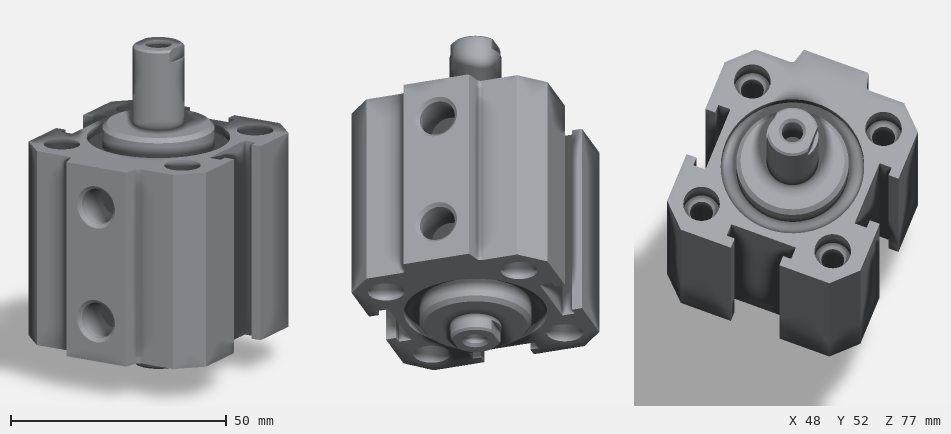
import cadquery as cq
import math


block_width = 48.0
block_height = 47.0
half_width = block_width / 2
corner_chamfer = 5.55

slot_mouth = 12.0
slot_width = 16.0
slot_lip = 2.5
slot_depth = 5.5

boss_width = 16.0
boss_projection = 4.0
boss_flank_angle = 15.0
boss_root_radius = 1.0

port_diameter = 8.55
port_mouth_diameter = 10.2
port_depth = 9.25
port_end_distance = 9.7

mount_spacing = 32.6
mount_diameter = 5.3
mount_counterbore = 8.5
mount_counterbore_depth = 5.55

collar_diameter = 26.0
collar_projection = 3.5
collar_chamfer = 1.0
recess_diameter = 33.3
recess_depth = 2.0

rod_diameter = 12.0
rod_length = 77.0
rod_bottom = -7.5
rod_chamfer = 0.5
flat_width = 10.0
flat_length = 3.0
thread_diameter = 4.9
thread_mouth_diameter = 6.3
thread_depth = 10.0


def tapered_hole(diameter, mouth_diameter, depth):
    """Cutter along +Z from the origin, with a 45 degree countersink at its mouth."""
    radius = diameter / 2
    mouth_radius = mouth_diameter / 2
    countersink_depth = mouth_radius - radius
    return (
        cq.Workplane("XZ")
        .moveTo(0, 0)
        .lineTo(mouth_radius, 0)
        .lineTo(radius, countersink_depth)
        .lineTo(radius, depth)
        .lineTo(0, depth)
        .close()
        .revolve(360, (0, 0, 0), (0, 1, 0))
    )


def make_block():
    return (
        cq.Workplane("XY")
        .rect(block_width, block_width)
        .extrude(block_height)
        .edges("|Z")
        .chamfer(corner_chamfer)
    )


def add_boss(body):
    """Adds the boss with sloping flanks and rounded roots."""
    face_y = -half_width
    tip_y = face_y - boss_projection
    tip_x = boss_width / 2
    slope = math.radians(boss_flank_angle)
    root_x = tip_x + boss_projection * math.tan(slope)
    boss = (
        cq.Workplane("XY")
        .moveTo(-root_x, face_y)
        .lineTo(-tip_x, tip_y)
        .lineTo(tip_x, tip_y)
        .lineTo(root_x, face_y)
        .lineTo(root_x, 0)
        .lineTo(-root_x, 0)
        .close()
        .extrude(block_height)
    )
    body = body.union(boss)
    for x in (-root_x, root_x):
        root_middle = (x, face_y, block_height / 2)
        root_edge = cq.selectors.NearestToPointSelector(root_middle)
        body = body.edges(root_edge).fillet(boss_root_radius)
    return body


def cut_slots(body):
    """Cuts a T-slot over the full height of the right, back and left sides."""
    neck_center = half_width - slot_lip / 2
    pocket_center = half_width - (slot_lip + slot_depth) / 2
    neck = cq.Workplane("XY").center(neck_center, 0).rect(slot_lip, slot_mouth).extrude(block_height)
    pocket = (
        cq.Workplane("XY")
        .center(pocket_center, 0)
        .rect(slot_depth - slot_lip, slot_width)
        .extrude(block_height)
    )
    slot = neck.union(pocket)
    for angle in (0, 90, 180):
        body = body.cut(slot.rotate((0, 0, 0), (0, 0, 1), angle))
    return body


def cut_mounting_holes(body):
    """Cuts the four corner holes, counterbored from both ends."""
    hole = cq.Workplane("XY").circle(mount_diameter / 2).extrude(block_height)
    for bottom in (0, block_height - mount_counterbore_depth):
        counterbore = (
            cq.Workplane("XY", origin=(0, 0, bottom))
            .circle(mount_counterbore / 2)
            .extrude(mount_counterbore_depth)
        )
        hole = hole.union(counterbore)
    offset = mount_spacing / 2
    for x in (-offset, offset):
        for y in (-offset, offset):
            body = body.cut(hole.translate((x, y, 0)))
    return body


def cut_ports(body):
    """Cuts the two blind ports into the boss."""
    mouth_y = -half_width - boss_projection
    port = tapered_hole(port_diameter, port_mouth_diameter, port_depth)
    port = port.rotate((0, 0, 0), (1, 0, 0), -90)
    for height in (port_end_distance, block_height - port_end_distance):
        body = body.cut(port.translate((0, mouth_y, height)))
    return body


def form_ends(body):
    """Cuts the recess in both ends and adds the collar that stands in each."""
    for bottom in (0, block_height - recess_depth):
        recess = (
            cq.Workplane("XY", origin=(0, 0, bottom))
            .circle(recess_diameter / 2)
            .extrude(recess_depth)
        )
        body = body.cut(recess)
    collars = (
        cq.Workplane("XY", origin=(0, 0, -collar_projection))
        .circle(collar_diameter / 2)
        .extrude(block_height + 2 * collar_projection)
        .faces("<Z or >Z")
        .chamfer(collar_chamfer)
    )
    return body.union(collars)


def make_housing():
    body = make_block()
    body = add_boss(body)
    body = cut_slots(body)
    body = cut_mounting_holes(body)
    body = form_ends(body)
    body = cut_ports(body)
    rod_bore = (
        cq.Workplane("XY", origin=(0, 0, -collar_projection))
        .circle(rod_diameter / 2)
        .extrude(block_height + 2 * collar_projection)
    )
    return body.cut(rod_bore)


def make_rod():
    """Round rod with two wrench flats and a threaded hole at each end."""
    rod = (
        cq.Workplane("XY")
        .circle(rod_diameter / 2)
        .extrude(rod_length)
        .faces("<Z or >Z")
        .chamfer(rod_chamfer)
    )
    flat_cut_width = (rod_diameter - flat_width) / 2
    flat_cut_center = (rod_diameter + flat_width) / 4
    flat_cuts = (
        cq.Workplane("XY")
        .pushPoints([(-flat_cut_center, 0), (flat_cut_center, 0)])
        .rect(flat_cut_width, rod_diameter)
        .extrude(flat_length)
    )
    thread_hole = tapered_hole(thread_diameter, thread_mouth_diameter, thread_depth)
    end_cut = flat_cuts.union(thread_hole)
    middle = (0, 0, rod_length / 2)
    rod = rod.cut(end_cut)
    rod = rod.cut(end_cut.rotate(middle, (1, 0, rod_length / 2), 180))
    return rod.translate((0, 0, rod_bottom))


housing = make_housing()
rod = make_rod()
result = cq.Compound.makeCompound([housing.val(), rod.val()])